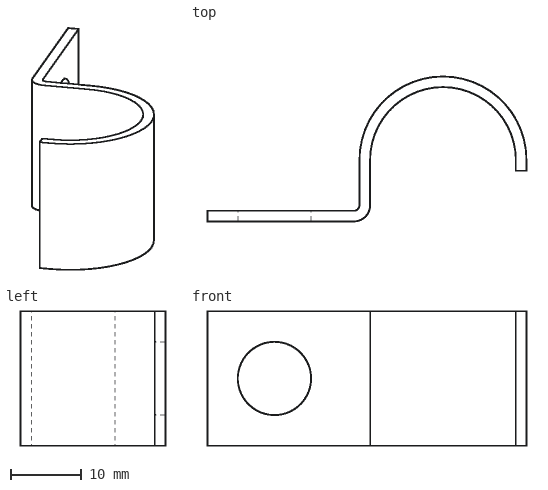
import cadquery as cq

length = 45.15
depth = 20.55
width = 19.05

thickness = 1.55
loop_radius = 11.85
bend_inner_radius = 0.75
bend_outer_radius = bend_inner_radius + thickness
free_leg = 1.55

hole_diameter = 10.35
hole_offset = 9.5

loop_x = length - loop_radius
loop_y = depth - loop_radius
loop_inner_radius = loop_radius - thickness
leg_outer_x = length - 2 * loop_radius
leg_inner_x = leg_outer_x + thickness
bend_x = leg_inner_x - bend_outer_radius
free_end_y = loop_y - free_leg


def bent_strip():
    """Flange, bend, upright leg and half-round loop of constant thickness."""
    profile = (
        cq.Workplane("XY")
        .moveTo(0, 0)
        .lineTo(bend_x, 0)
        .radiusArc((leg_inner_x, bend_outer_radius), -bend_outer_radius)
        .lineTo(leg_inner_x, loop_y)
        .threePointArc((loop_x, loop_y + loop_inner_radius), (length - thickness, loop_y))
        .lineTo(length - thickness, free_end_y)
        .lineTo(length, free_end_y)
        .lineTo(length, loop_y)
        .threePointArc((loop_x, depth), (leg_outer_x, loop_y))
        .lineTo(leg_outer_x, bend_outer_radius)
        .radiusArc((bend_x, thickness), bend_inner_radius)
        .lineTo(0, thickness)
        .close()
    )
    return profile.extrude(width)


def screw_hole():
    """Cylinder through the flange, centred across the strip width."""
    return (
        cq.Workplane("XZ", origin=(hole_offset, 0, width / 2))
        .circle(hole_diameter / 2)
        .extrude(-thickness)
    )


result = bent_strip().cut(screw_hole())